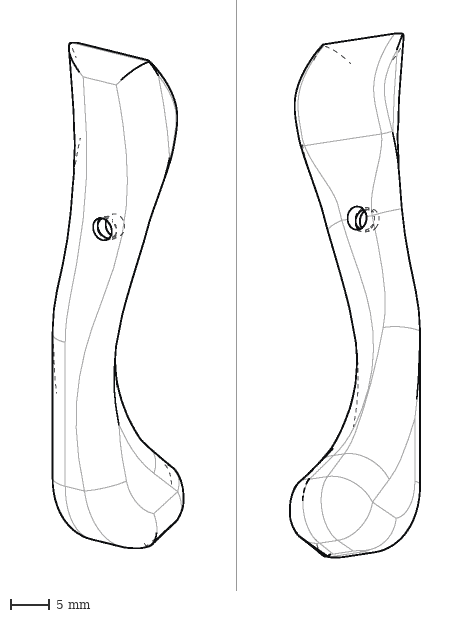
import cadquery as cq
import math

height = 70.26
end_margin = 3.0
blank_depth = 30.0
blank_width = 40.0
front_margin = 5.0
max_flank_drift = 7.0
tolerance = 0.01
arc_mid_inset = 1 - math.sqrt(0.5)

front_radius = 4.0
top_radius = 3.0
rear_radius = 4.8
rear_tip_radius = 1.0
taper_start_z = 46.6
taper_end_z = 56.7

heel_radius = 10.0
sole_angle = math.radians(12.7)
sole_end_y = 23.2

blank_bottom = -4 * end_margin
blank_top = height + end_margin
left_straight_top = 29.9
left_flank = [(1.3, 39.0), (2.95, 48.2), (3.5, 56.0), (3.3, 62.0), (2.3, blank_top)]
right_flank = [
    (18.5, blank_bottom),
    (15.0, 0.0),
    (10.93, 11.2),
    (9.77, 20.7),
    (12.0, 31.2),
    (14.8, 38.3),
    (18.0, 52.2),
    (17.4, 62.0),
    (14.7, blank_top),
]

rear_foot = (13.15, 12.6)
rear_foot_direction = (-0.72, 0.68)
rear_bow = [(9.6, 17.8), (5.35, 27.9), (2.8, 38.1), (2.8, taper_start_z)]
taper_start_direction = (0.15, 1.0)
rear_taper = [(5.1, taper_end_z)]
taper_end_direction = (0.45, 1.0)
rear_crown = [(7.25, 63.0), (3.4, height), (-0.6, blank_top)]
rear_crown_direction = (-1.0, 0.7)

hole_diameter = 3.0
hole_x = 10.05
hole_z = 46.8
hole_step_y = 1.0
hole_rear_drop = 0.25


def sole_z(y):
    """Height of the flat sole at depth y."""
    start_y = heel_radius * (1 + math.sin(sole_angle))
    start_z = heel_radius * (1 - math.cos(sole_angle))
    return start_z + (y - start_y) * math.tan(sole_angle)


def flank_prism(front_y):
    """Front outline of the lever, extruded rearward from front_y."""
    left_downward = left_flank[-2::-1] + [(0, left_straight_top)]
    return (
        cq.Workplane("XZ", origin=(0, front_y, 0))
        .moveTo(0, blank_bottom)
        .lineTo(*right_flank[0])
        .spline(right_flank[1:], includeCurrent=True)
        .lineTo(*left_flank[-1])
        .spline(left_downward, tangents=[(0.1, -1), (0, -1)], includeCurrent=True)
        .close()
        .extrude(front_y - blank_depth)
    )


def side_prism(profile):
    """Closed (Y, Z) profile extruded across the full width."""
    return profile.close().extrude(blank_width)


def side_sketch():
    """Empty (Y, Z) sketch just left of the part."""
    return cq.Workplane("YZ", origin=(-end_margin, 0, 0))


def front_half():
    """Blank with the finished front, heel and top, reaching too far rearward."""
    heel_mid = heel_radius * arc_mid_inset
    heel_and_sole = side_prism(
        side_sketch()
        .moveTo(0, blank_top)
        .lineTo(0, heel_radius)
        .threePointArc((heel_mid, heel_mid), (heel_radius, 0))
        .lineTo(blank_depth, 0)
        .lineTo(blank_depth, blank_top)
    )
    blank = flank_prism(0).intersect(heel_and_sole)

    def on_front_outline(edge):
        box = edge.BoundingBox()
        return box.ymax < tolerance and box.zlen > heel_radius

    front_edges = [edge for edge in blank.edges().vals() if on_front_outline(edge)]
    rounded = blank.newObject(front_edges).fillet(front_radius)

    top_mid = top_radius * arc_mid_inset
    below_top = side_prism(
        side_sketch()
        .moveTo(0, blank_bottom)
        .lineTo(0, height - top_radius)
        .threePointArc((top_mid, height - top_mid), (top_radius, height))
        .lineTo(blank_depth, height)
        .lineTo(blank_depth, blank_bottom)
    )
    return rounded.intersect(below_top)


def rear_edge_radii(edge):
    """Fillet radii at the lower and upper end of a rear edge."""
    box = edge.BoundingBox()
    if box.zmin > taper_end_z - tolerance:
        return rear_tip_radius, rear_tip_radius
    if box.zmin > taper_start_z - tolerance:
        return rear_radius, rear_tip_radius
    return rear_radius, rear_radius


def round_rear(blank):
    """Fillet the sole and rear outline, with a radius that tapers up the flanks."""

    def on_rear_outline(edge):
        box = edge.BoundingBox()
        runs_up_flank = box.ylen > tolerance and box.xlen < max_flank_drift
        return runs_up_flank or box.ymin > sole_end_y - tolerance

    solid = blank.solids().val()
    fillet = cq.occ_impl.shapes.BRepFilletAPI_MakeFillet(solid.wrapped)
    for edge in filter(on_rear_outline, solid.Edges()):
        if fillet.Contour(edge.wrapped) == 0:
            fillet.Add(rear_radius, edge.wrapped)
    for contour in range(1, fillet.NbContours() + 1):
        starts_low = cq.Vertex(fillet.FirstVertex(contour)).Z < taper_start_z
        for index in range(1, fillet.NbEdges(contour) + 1):
            low, high = rear_edge_radii(cq.Edge(fillet.Edge(contour, index)))
            first, last = (low, high) if starts_low else (high, low)
            fillet.SetRadius(first, last, contour, index)
    return cq.Workplane(cq.Shape.cast(fillet.Shape()))


def rear_half():
    """Blank with the finished rear face, foot and sole, reaching too far forward."""
    rear_and_sole = side_prism(
        side_sketch()
        .moveTo(-front_margin, sole_z(-front_margin))
        .lineTo(sole_end_y, sole_z(sole_end_y))
        .lineTo(*rear_foot)
        .spline(rear_bow, tangents=[rear_foot_direction, taper_start_direction], includeCurrent=True)
        .spline(rear_taper, tangents=[taper_start_direction, taper_end_direction], includeCurrent=True)
        .spline(rear_crown, tangents=[taper_end_direction, rear_crown_direction], includeCurrent=True)
        .lineTo(-front_margin, blank_top)
    )
    return round_rear(flank_prism(-front_margin).intersect(rear_and_sole))


def bore(center_z, start_y, depth):
    """Round tool along Y for one stage of the pivot hole."""
    return (
        cq.Workplane("XZ", origin=(hole_x, start_y, center_z))
        .circle(hole_diameter / 2)
        .extrude(-depth)
    )


def pivot_hole():
    """Through hole whose rear stage sits slightly lower than the front one."""
    rear_stage = bore(hole_z - hole_rear_drop, hole_step_y, blank_depth)
    return bore(hole_z, 0, hole_step_y).union(rear_stage)


result = rear_half().intersect(front_half()).cut(pivot_hole())